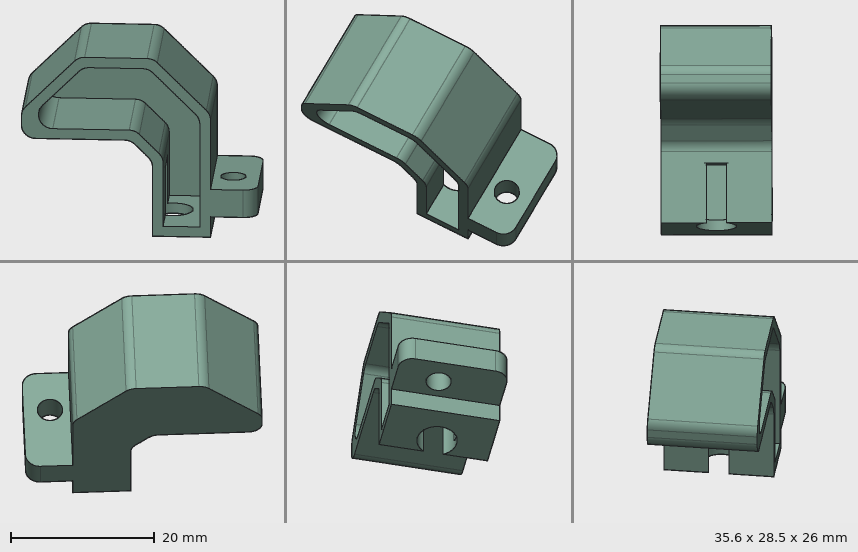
import cadquery as cq
import math

yaw = 28.3
width = 15.45
height = 26.0
length = 26.4
wall = 1.5
corner_radius = 2.0
shoulder_height = 18.0
overhang_height = 14.0
neck_start = 18.3
neck_slope_base = 10.95

tab_bottom = 3.0
tab_thickness = 4.02
tab_end = 32.92
tab_hole_diameter = 3.5
tab_hole_x = 29.22
tab_hole_y = 6.12

recess_diameter = 5.6
recess_height = 8.55
recess_slot_width = 2.8

slope_run = height - shoulder_height
neck_run = overhang_height - neck_slope_base
corner_shift = wall * math.tan(math.radians(22.5))


def extrude_profile(points, depth):
    """Extrude an XZ outline from y = 0 toward +Y."""
    return cq.Workplane("XZ").polyline(points).close().extrude(-depth)


def round_corners(body, corners, depth):
    """Round the edges along Y that pass through the given XZ corners."""
    for x, z in corners:
        nearest_edge = cq.selectors.NearestToPointSelector((x, depth / 2, z))
        body = body.edges(nearest_edge).fillet(corner_radius)
    return body


def make_outer():
    rounded = [
        (length, shoulder_height),
        (length - slope_run, height),
        (slope_run, height),
        (0, shoulder_height),
        (0, overhang_height),
        (neck_start - neck_run, overhang_height),
        (neck_start, neck_slope_base),
    ]
    outline = [(neck_start, 0), (length, 0)] + rounded
    return round_corners(extrude_profile(outline, width), rounded, width)


def make_cavity():
    shelf = overhang_height + wall
    top = height - wall
    tip_x = shelf - shoulder_height + wall * math.sqrt(2)
    rounded = [
        (length - wall, shoulder_height - corner_shift),
        (length - slope_run - corner_shift, top),
        (slope_run + corner_shift, top),
        (tip_x, shelf),
        (neck_start - neck_run + corner_shift, shelf),
        (neck_start + wall, neck_slope_base + corner_shift),
    ]
    outline = [(neck_start + wall, wall), (length - wall, wall)] + rounded
    depth = width - wall
    return round_corners(extrude_profile(outline, depth), rounded, depth)


def make_tab():
    tab_start = length - wall / 2
    tab = (
        cq.Workplane("XY", origin=(0, 0, tab_bottom))
        .moveTo(tab_start, 0)
        .rect(tab_end - tab_start, width, centered=False)
        .extrude(tab_thickness)
        .edges("|Z and >X")
        .fillet(corner_radius)
    )
    hole = (
        cq.Workplane("XY", origin=(tab_hole_x, tab_hole_y, tab_bottom))
        .circle(tab_hole_diameter / 2)
        .extrude(tab_thickness)
    )
    return tab.cut(hole)


def make_recess():
    radius = recess_diameter / 2
    center_x = neck_start + math.sqrt(radius**2 - (recess_slot_width / 2) ** 2)
    return cq.Workplane("XY").center(center_x, width / 2).circle(radius).extrude(recess_height)


housing = make_outer().cut(make_cavity()).cut(make_recess())
result = housing.union(make_tab()).rotate((0, 0, 0), (0, 0, 1), yaw)